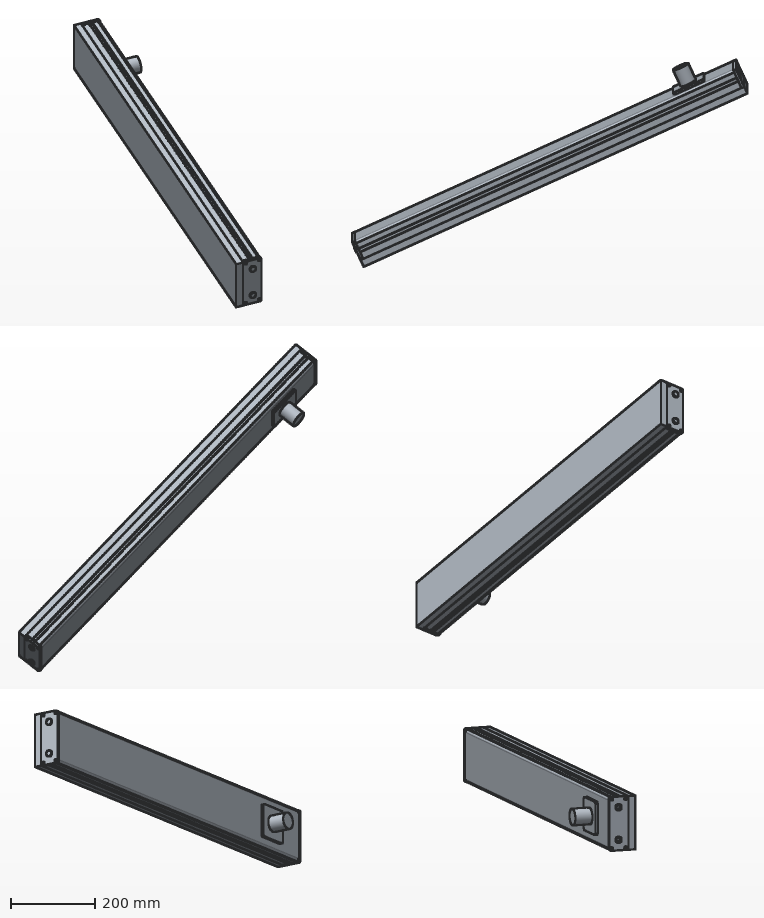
import cadquery as cq

total_length = 1006.0
total_depth = 115.0
height = 130.0
plug_protrusion = 3.0
bar_length = total_length - plug_protrusion
bar_depth = 65.0
panel_thickness = 18.0
cap_thickness = 7.0

panel_back_y = panel_thickness - bar_depth
half_height = height / 2
profile_length = bar_length - 2 * cap_thickness

cap_corner_radius = 6.0
lip_drop = 2.0
profile_corner_radius = 6.0

groove_width = 9.0
groove_depth = 5.0
groove_y = -25.0

screw_hole_diameter = 7.0
screw_edge_offset = 5.0
screw_panel_offset = 6.0
plug_diameter = 15.0
plug_y = -23.0
plug_z = 39.0
socket_bore_diameter = 10.0
socket_recess = 2.0

plug_points = [(plug_y, side * plug_z) for side in (-1, 1)]
screw_points = [
    (y, side * (half_height - screw_edge_offset))
    for y in (-screw_edge_offset, panel_back_y + screw_panel_offset)
    for side in (-1, 1)
]

gland_x = 122.0
flange_side = 80.0
flange_corner_radius = 6.0
flange_thickness = 6.0
pipe_diameter = 40.0
gland_length = total_depth - bar_depth


def box_between(x0, x1, y0, y1, z0, z1):
    """Box between two limits on each axis."""
    return cq.Workplane("XY").box(x1 - x0, y1 - y0, z1 - z0, centered=False).translate((x0, y0, z0))


def x_cylinders(diameter, points, x_start, length):
    """Cylinders along +X at the given (Y, Z) points."""
    return cq.Workplane("YZ", origin=(x_start, 0, 0)).pushPoints(points).circle(diameter / 2).extrude(length)


def make_panel():
    """Flat front panel, as long as the whole bar."""
    return box_between(0, bar_length, -bar_depth, panel_back_y, -half_height, half_height)


def make_profile():
    """Extruded housing with rounded rear edges below a small lip, and a groove above and below."""
    arc_top = half_height - lip_drop
    arc_front = -profile_corner_radius
    arc_base = arc_top - profile_corner_radius
    section = (
        cq.Workplane("YZ", origin=(cap_thickness, 0, 0))
        .moveTo(panel_back_y, -half_height)
        .lineTo(arc_front, -half_height)
        .lineTo(arc_front, -arc_top)
        .radiusArc((0, -arc_base), -profile_corner_radius)
        .lineTo(0, arc_base)
        .radiusArc((arc_front, arc_top), -profile_corner_radius)
        .lineTo(arc_front, half_height)
        .lineTo(panel_back_y, half_height)
        .close()
    )
    profile = section.extrude(profile_length)
    for side in (-1, 1):
        groove = cq.Workplane("XY").box(profile_length, groove_width, 2 * groove_depth)
        profile = profile.cut(groove.translate((bar_length / 2, groove_y, side * half_height)))
    return profile


def make_cap(x_start):
    """End cap with rounded rear corners and four corner screw holes."""
    cap = box_between(x_start, x_start + cap_thickness, panel_back_y, 0, -half_height, half_height)
    cap = cap.edges("|X and >Y").fillet(cap_corner_radius)
    return cap.cut(x_cylinders(screw_hole_diameter, screw_points, x_start, cap_thickness))


def make_left_cap():
    """End cap with two counterbored sockets."""
    cap = make_cap(0)
    cap = cap.cut(x_cylinders(plug_diameter, plug_points, 0, socket_recess))
    return cap.cut(x_cylinders(socket_bore_diameter, plug_points, 0, cap_thickness))


def make_right_cap():
    """End cap with two plugs standing out of its outer face."""
    plugs = x_cylinders(plug_diameter, plug_points, bar_length - cap_thickness, cap_thickness + plug_protrusion)
    return make_cap(bar_length - cap_thickness).union(plugs)


def make_gland():
    """Square mounting flange with a round pipe behind it."""
    back = cq.Workplane("XZ", origin=(gland_x, 0, 0))
    flange = back.rect(flange_side, flange_side).extrude(-flange_thickness)
    flange = flange.edges("|Y").fillet(flange_corner_radius)
    return flange.union(back.circle(pipe_diameter / 2).extrude(-gland_length))


panel = make_panel()
profile = make_profile()
left_cap = make_left_cap()
right_cap = make_right_cap()
gland = make_gland()
result = cq.Compound.makeCompound([
    panel.val(), profile.val(), left_cap.val(), right_cap.val(), gland.val(),
])